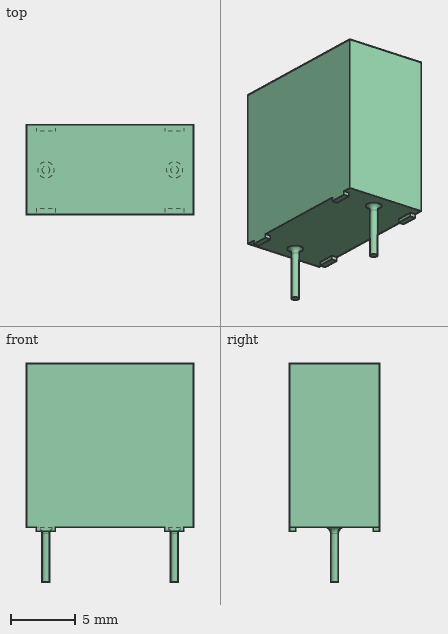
import cadquery as cq

total_height = 17.0
body_length = 13.0
body_width = 7.0

pin_diameter = 0.6
pin_length = 4.25
pin_spacing = 10.0
collar_radius = 0.63
collar_height = 0.46

foot_length = 1.5
foot_width = 0.5
foot_height = 0.3

body_bottom = pin_length
body_height = total_height - pin_length
pin_x = pin_spacing / 2
foot_y = (body_width - foot_width) / 2


def make_body():
    """Plain rectangular case."""
    return (
        cq.Workplane("XY", origin=(0, 0, body_bottom))
        .box(body_length, body_width, body_height, centered=(True, True, False))
    )


def make_foot(x, y):
    """Rectangular standoff foot hanging from the case bottom."""
    return (
        cq.Workplane("XY", origin=(x, y, body_bottom - foot_height))
        .box(foot_length, foot_width, foot_height, centered=(True, True, False))
    )


def make_pin(x):
    """Round pin, widening along a concave arc into the collar at its root."""
    pin_radius = pin_diameter / 2
    return (
        cq.Workplane("XZ")
        .lineTo(pin_radius, 0)
        .lineTo(pin_radius, body_bottom - collar_height)
        .tangentArcPoint((collar_radius, body_bottom), relative=False)
        .lineTo(0, body_bottom)
        .close()
        .revolve(360, (0, 0, 0), (0, 1, 0))
        .translate((x, 0, 0))
    )


result = make_body()
for x_side in (-1, 1):
    result = result.union(make_pin(x_side * pin_x))
    for y_side in (-1, 1):
        result = result.union(make_foot(x_side * pin_x, y_side * foot_y))